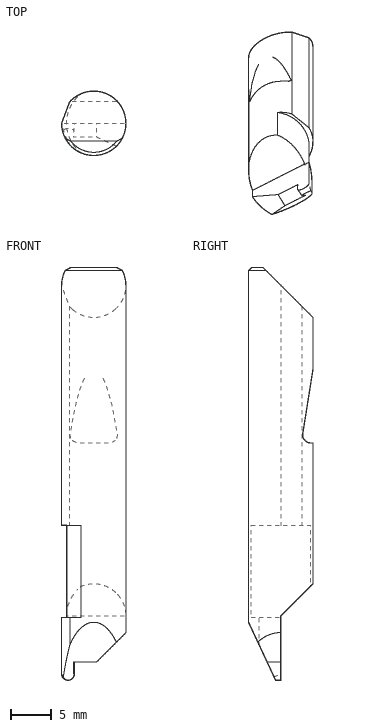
import cadquery as cq
import math

length = 50.8
radius = 7.94 / 2
margin = 2 * radius

top_chamfer = 0.4
top_bevel_start_y = -2.2
flat_half_angle = 20.5

notch_top_z = 38.2
notch_bottom_z = 29.2
notch_floor_y = 2.7
notch_radius = 1.0

neck_top_z = 19.05
neck_bottom_z = 7.75
neck_radius = 4.615
neck_depth = 0.62

rake_bevel_z = 7.9
flank_half_angle = 21.0
flank_bulge = 0.1
ledge_z = 2.25
ledge_end_x = 0.35
front_relief_angle = 25.0

tip_width = 1.6
tip_left_relief_angle = 12.0
tip_right_relief_angle = 5.0
tip_thickness = 0.64
tip_root_overlap = 0.5


def prism_along_x(points):
    """Prism of a YZ outline, passing through the whole bar."""
    return cq.Workplane("YZ").polyline(points).close().extrude(margin, both=True)


def point_at(distance, angle):
    """XY point at a distance from the bar's axis, in the direction of an angle in degrees."""
    return (distance * math.cos(math.radians(angle)), distance * math.sin(math.radians(angle)))


def shank_flat():
    """Material outside the flat on the -X, +Y side, above the neck."""
    flat_distance = radius * math.cos(math.radians(flat_half_angle))
    box = cq.Workplane("XY").box(margin, 2 * margin, length, centered=(False, True, False))
    box = box.translate((flat_distance, 0, neck_top_z))
    return box.rotate((0, 0, 0), (0, 0, 1), 180 - flat_half_angle)


def top_bevel():
    bevel_end_y = top_bevel_start_y + margin
    return prism_along_x([
        (top_bevel_start_y, length),
        (bevel_end_y, length),
        (bevel_end_y, length - margin),
    ])


def clamping_notch():
    """Square step, rounded corner and a long ramp back out to the surface."""
    outer_y = radius + margin
    step_end = (notch_floor_y + notch_radius, notch_bottom_z)
    ramp_start = (notch_floor_y, notch_bottom_z + notch_radius)
    arc_offset = notch_radius * (1 - math.sqrt(0.5))
    arc_middle = (notch_floor_y + arc_offset, notch_bottom_z + arc_offset)
    ramp_slope = (notch_top_z - ramp_start[1]) / (radius - notch_floor_y)
    return (
        cq.Workplane("YZ")
        .moveTo(outer_y, notch_bottom_z)
        .lineTo(*step_end)
        .threePointArc(arc_middle, ramp_start)
        .lineTo(outer_y, notch_top_z + ramp_slope * margin)
        .close()
        .extrude(margin, both=True)
    )


def neck_relief():
    """Material between the bar's surface and the eccentric neck."""
    neck_center_x = neck_radius + neck_depth - radius
    height = neck_top_z - neck_bottom_z
    plane = cq.Workplane("XY").workplane(offset=neck_bottom_z)
    block = plane.rect(2 * margin, 2 * margin).extrude(height)
    neck = plane.center(neck_center_x, 0).circle(neck_radius).extrude(height)
    return block.cut(neck)


def rake_clearance():
    """Everything behind the rake face at Y = 0, up to the 45 degree bevel."""
    return prism_along_x([
        (0, -margin),
        (0, rake_bevel_z),
        (margin, rake_bevel_z + margin),
        (margin, -margin),
    ])


def head_end():
    """Everything below the ledge and its 45 degree slope."""
    return (
        cq.Workplane("XZ")
        .polyline([
            (-margin, ledge_z),
            (ledge_end_x, ledge_z),
            (ledge_end_x + margin, ledge_z + margin),
            (ledge_end_x + margin, -margin),
            (-margin, -margin),
        ])
        .close()
        .extrude(margin, both=True)
    )


def flank_relief():
    """Material outside the curved flank on the -X, -Y side of the head."""
    flank_middle = radius * math.cos(math.radians(flank_half_angle)) + flank_bulge
    flank_end_angle = 180 + 2 * flank_half_angle
    return (
        cq.Workplane("XY")
        .moveTo(-radius, 0)
        .threePointArc(
            point_at(flank_middle, 180 + flank_half_angle),
            point_at(radius, flank_end_angle),
        )
        .lineTo(*point_at(2 * radius, flank_end_angle))
        .lineTo(-2 * radius, 0)
        .close()
        .extrude(neck_bottom_z)
    )


def front_relief():
    relief_height = margin / math.tan(math.radians(front_relief_angle))
    return prism_along_x([
        (-tip_thickness, 0),
        (-tip_thickness - margin, relief_height),
        (-tip_thickness - margin, 0),
    ])


def tip_outline(depth):
    """Round-ended tip outline at a depth below the rake face, narrowed by the side reliefs."""
    left_x = -radius + depth * math.tan(math.radians(tip_left_relief_angle))
    right_x = -radius + tip_width - depth * math.tan(math.radians(tip_right_relief_angle))
    end_radius = (right_x - left_x) / 2
    root_z = ledge_z + tip_root_overlap
    return (
        cq.Workplane("XZ", origin=(0, -depth, 0))
        .moveTo(left_x, root_z)
        .lineTo(left_x, end_radius)
        .threePointArc((left_x + end_radius, 0), (right_x, end_radius))
        .lineTo(right_x, root_z)
        .close()
        .wire()
        .val()
    )


def make_tip():
    relief_slope = math.tan(math.radians(front_relief_angle))
    root_depth = tip_thickness + (ledge_z + tip_root_overlap) * relief_slope
    return cq.Workplane(cq.Solid.makeLoft([tip_outline(0), tip_outline(root_depth)], True))


result = cq.Workplane("XY").circle(radius).extrude(length).faces(">Z").chamfer(top_chamfer)
result = result.cut(shank_flat()).cut(top_bevel()).cut(clamping_notch())
result = result.cut(neck_relief()).cut(rake_clearance()).cut(head_end())
result = result.union(make_tip())
result = result.cut(flank_relief()).cut(front_relief())